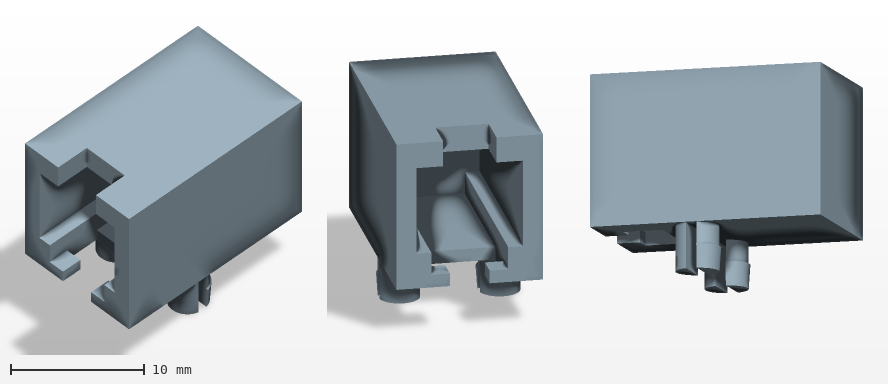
import cadquery as cq

width = 11.2
length = 18
height = 11.61
back_wall = 1.55

side_wall = 1.55
roof = 2.0
floor = 1.0
ledge_height = 2.77
channel_width = 5.87

roof_notch_width = 4.07
roof_notch_depth = 2.99
lip_gap = 3.02
lip_depth = 1.8
floor_start = 4.9

post_spacing = 7.65
post_y = 7.87
post_radius = 1.58
post_length = 3.5
post_slot = 0.83
post_depth = 3.3

barb_spacing = 7.6
barb_top = -1.55
barb_shoulder = 0.1
barb_radius = 1.73
barb_tip_radius = 1.6


def block(x_size, y_start, y_end, z_start, z_end):
    """Box centred on X between the given Y and Z limits."""
    return cq.Workplane("XY").box(
        x_size, y_end - y_start, z_end - z_start, centered=(True, False, False)
    ).translate((0, y_start, z_start))


def make_housing():
    cavity_end = length - back_wall
    body = block(width, 0, length, 0, height)
    body = body.cut(block(width - 2 * side_wall, 0, cavity_end, ledge_height, height - roof))
    body = body.cut(block(channel_width, 0, cavity_end, floor, ledge_height))
    body = body.cut(block(roof_notch_width, 0, roof_notch_depth, height - roof, height))
    body = body.cut(block(lip_gap, 0, lip_depth, 0, floor))
    return body.cut(block(channel_width, lip_depth, floor_start, 0, floor))


def make_post(side):
    """Two half-round legs with a slot between them and a barb on the rear leg."""
    leg_shift = post_depth / 2 - post_radius
    rear_centre = post_y + leg_shift
    post_x = side * post_spacing / 2
    barb_x = side * barb_spacing / 2

    front = cq.Workplane("XY").center(post_x, post_y - leg_shift).circle(post_radius).extrude(-post_length)
    front = front.cut(block(2 * width, post_y - post_slot / 2, length, -post_length, 0))

    rear = cq.Workplane("XY").center(post_x, rear_centre).circle(post_radius).extrude(-post_length)
    taper_height = post_length + barb_top - barb_shoulder
    barb = (
        cq.Workplane("XY", origin=(barb_x, rear_centre, -post_length))
        .circle(barb_tip_radius)
        .workplane(offset=taper_height)
        .circle(barb_radius)
        .workplane(offset=barb_shoulder)
        .circle(post_radius)
        .loft(ruled=True)
    )
    rear = rear.union(barb).cut(block(2 * width, 0, post_y + post_slot / 2, -post_length, 0))
    return front.union(rear)


result = make_housing()
for side in (-1, 1):
    result = result.union(make_post(side))